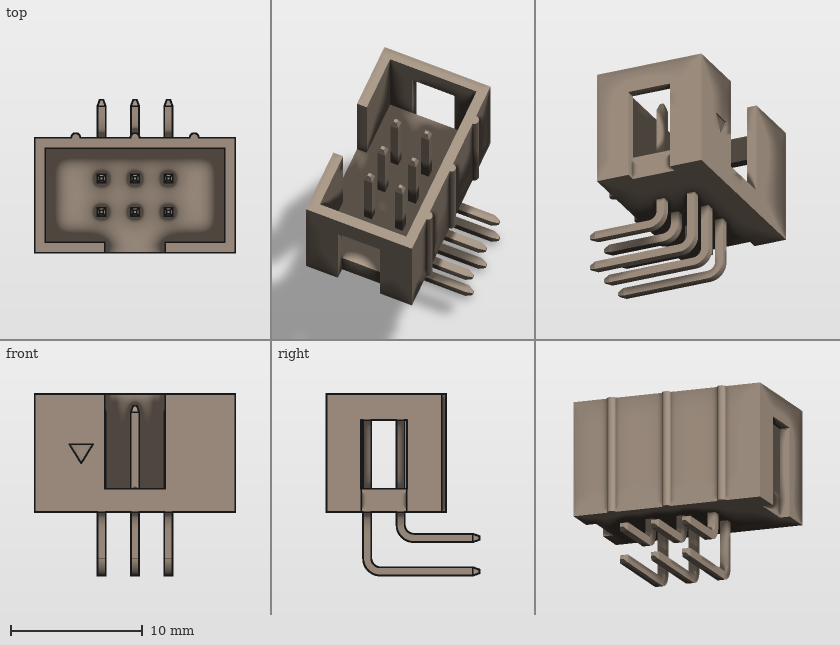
import cadquery as cq


overall_depth = 11.65
overall_height = 13.8

housing_length = 15.24
housing_depth = 8.75
housing_height = 8.99
floor_height = 1.8
end_wall = 0.81
side_wall = 0.81
key_slot_width = 4.59
end_window_width = 3.47
end_window_top = 7.0

rib_radius = 0.35
rib_spacing = 4.5
rib_count = 3

mark_width = 1.8
mark_height = 1.45
mark_center_x = -4.08
mark_top = 5.17
mark_depth = 0.09

pin_size = 0.64
pin_tip_size = 0.27
pin_taper = 0.52
pitches_in_length = 6
pin_pitch = housing_length / pitches_in_length
pin_top = 8.1
bend_radius = 1.0
tail_reach = overall_depth - housing_depth
lower_tail_drop = overall_height - housing_height - pin_size / 2

front_face = -housing_depth / 2
back_face = housing_depth / 2
front_row_y = -pin_pitch / 2
back_row_y = pin_pitch / 2
upper_tail_drop = lower_tail_drop - pin_pitch
tail_end_y = back_face + tail_reach
outer_columns = [-pin_pitch, pin_pitch]
pin_rows = [(front_row_y, lower_tail_drop), (back_row_y, upper_tail_drop)]


def tapered_tip(plane):
    """Square tip that narrows along the plane's normal."""
    return (
        cq.Workplane(plane)
        .rect(pin_size, pin_size)
        .workplane(offset=pin_taper)
        .rect(pin_tip_size, pin_tip_size)
        .loft(ruled=True)
    )


def make_pin(x, y, tail_drop):
    """Square pin: an upright post, a 90 degree bend and a tail toward +Y."""
    post_end = pin_top - pin_taper
    tail_end = tail_end_y - pin_taper
    path = (
        cq.Workplane("YZ", origin=(x, 0, 0))
        .moveTo(y, post_end)
        .lineTo(y, bend_radius - tail_drop)
        .radiusArc((y + bend_radius, -tail_drop), -bend_radius)
        .lineTo(tail_end, -tail_drop)
    )
    shaft = cq.Workplane("XY", origin=(x, y, post_end)).rect(pin_size, pin_size).sweep(path)
    post_tip = tapered_tip(cq.Plane(origin=(x, y, post_end)))
    tail_tip = tapered_tip(
        cq.Plane(origin=(x, tail_end, -tail_drop), xDir=(1, 0, 0), normal=(0, 1, 0))
    )
    return shaft.union(post_tip).union(tail_tip)


def make_shell():
    """Open-topped box with a solid floor."""
    box = cq.Workplane("XY").rect(housing_length, housing_depth).extrude(housing_height)
    cavity = (
        cq.Workplane("XY", origin=(0, 0, floor_height))
        .rect(housing_length - 2 * end_wall, housing_depth - 2 * side_wall)
        .extrude(housing_height - floor_height)
    )
    return box.cut(cavity)


def make_key_slot():
    """Opening in the front wall, from the floor to the rim."""
    return (
        cq.Workplane("XY", origin=(0, front_face + side_wall / 2, floor_height))
        .rect(key_slot_width, side_wall)
        .extrude(housing_height - floor_height)
    )


def make_end_window(side):
    """Opening through one end wall, from the underside up; side is -1 or 1."""
    return (
        cq.Workplane("XY", origin=(side * (housing_length - end_wall) / 2, 0, 0))
        .rect(end_wall, end_window_width)
        .extrude(end_window_top)
    )


def make_ribs():
    """Full-height half-round ribs on the back wall."""
    return (
        cq.Workplane("XY", origin=(0, back_face, 0))
        .rarray(rib_spacing, 0.15, rib_count, 1)
        .circle(rib_radius)
        .extrude(housing_height)
    )


def make_pin_one_mark():
    """Triangular recess in the front wall."""
    return (
        cq.Workplane("XZ", origin=(mark_center_x, front_face, mark_top))
        .polyline([(-mark_width / 2, 0), (mark_width / 2, 0), (0, -mark_height)])
        .close()
        .extrude(-mark_depth)
    )


pins = [make_pin(x, y, tail_drop) for x in outer_columns for y, tail_drop in pin_rows]

housing = make_shell().union(make_ribs()).cut(make_key_slot()).cut(make_pin_one_mark())
for end_side in (-1, 1):
    housing = housing.cut(make_end_window(end_side))
for pin in pins:
    housing = housing.cut(pin)
for y, tail_drop in pin_rows:
    housing = housing.union(make_pin(0, y, tail_drop))

pin_solids = [pin.solids().val() for pin in pins]
result = cq.Compound.makeCompound([housing.solids().val(), *pin_solids])